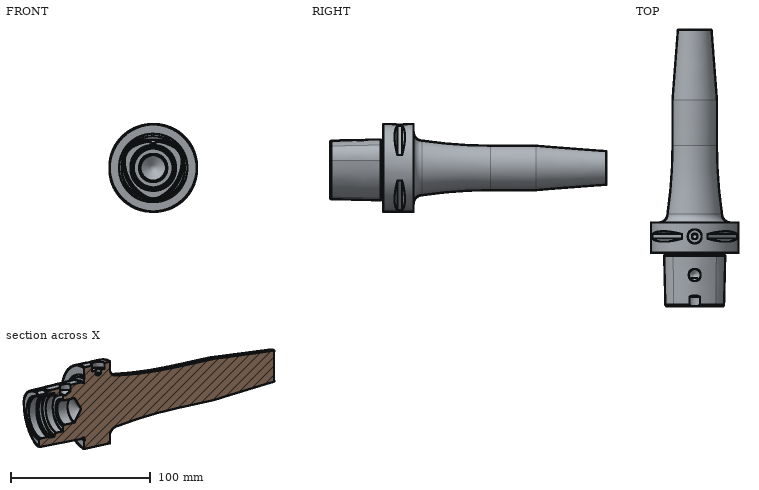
import math

import cadquery as cq

UP = (0, 0, 1)
DOWN = (0, 0, -1)
TOWARDS_NOSE = (0, 1, 0)

FLANGE_RADIUS = 31.5
FLANGE_WIDTH = 22.0
FLANGE_CHAMFER = 0.4
FLANGE_MIDPLANE_Y = 12.0

NOSE_END_Y = 160.0
NOSE_TIP_RADIUS = 12.15
NOSE_TIP_CHAMFER = 0.5
NECK_RADIUS = 16.0
NECK_START_Y = 77.0
NECK_END_Y = 109.5
FLARE_ARC_RADIUS = 335.0
FLARE_START_Y = 28.0
FLANGE_FILLET = 6.0

SHANK_LENGTH = 38.0
SHANK_WIDTH = 44.0
LOBE_RADIUS = 13.0
LOBE_CENTRE_DISTANCE = (SHANK_WIDTH - 2 * LOBE_RADIUS) / math.sqrt(3)
SHANK_TAPER = 1 / 40
SHANK_END_CHAMFER = 0.7
SHANK_END_CHAMFER_LENGTH = 1.3
LOBE_ANGLES = (30, 150, 270)
ARC_SPAN = 60

UNDERCUT_DEPTH = 0.8
UNDERCUT_BEVEL_START_Y = -1.1
UNDERCUT_BEVEL_END_Y = -1.9
RELIEF_OUTER_RADIUS = 24.5
RELIEF_INNER_RADIUS = 22.7
RELIEF_DEPTH = 0.6

DRILL_POINT_HALF_ANGLE = 59
BORE_MOUTH_RADIUS = 16.4
BORE_RADIUS = 15.7
BORE_MOUTH_DEPTH = 1.5
BORE_DEPTH = 7.7
LIP_RADIUS = 15.2
LIP_START_DEPTH = 8.4
LIP_END_DEPTH = 9.4
GROOVE_RADIUS = 16.6
GROOVE_END_DEPTH = 13.0
INNER_BORE_RADIUS = 13.9
INNER_BORE_CHAMFER_DEPTH = 14.5
INNER_BORE_DEPTH = 20.4
CENTRE_HOLE_RADIUS = 9.2
CENTRE_HOLE_CHAMFER = 0.9
CENTRE_HOLE_DEPTH = 30.0

SLOT_FLOOR_DISTANCE = 27.75
SLOT_FLOOR_WIDTH = 3.2
SLOT_FLANK_ANGLE = 30
SLOT_ANGLES = (45, 135, 225, 315)

FLANGE_HOLE_RADIUS = 5.0
FLANGE_HOLE_DEPTH = 4.5
PILOT_HOLE_RADIUS = 2.0
PILOT_HOLE_DEPTH = 3.0
SHANK_HOLE_RADIUS = 4.3
SHANK_HOLE_FLOOR_Z = 15.6
SHANK_HOLE_Y = -15.6
NOTCH_RADIUS = 5.0
NOTCH_AXIS_Z = 22.85
NOTCH_LENGTH = 6.7


def drill_point_height(radius):
    return radius / math.tan(math.radians(DRILL_POINT_HALF_ANGLE))


def revolve_about_axis(profile):
    return profile.close().revolve(360, (0, 0, 0), (0, 1, 0))


def drill(start, direction, radius, depth):
    """Solid of a drilled hole: a cylinder of full depth followed by the conical point."""
    start = cq.Vector(*start)
    direction = cq.Vector(*direction)
    barrel = cq.Solid.makeCylinder(radius, depth, start, direction)
    point = cq.Solid.makeCone(radius, 0, drill_point_height(radius), start + direction * depth, direction)
    return cq.Workplane(barrel).union(cq.Workplane(point))


def make_nose_and_flange():
    flare_centre_x = NECK_RADIUS + FLARE_ARC_RADIUS

    def flare_radius(y):
        return flare_centre_x - math.sqrt(FLARE_ARC_RADIUS**2 - (NECK_START_Y - y) ** 2)

    flare_middle_y = (FLARE_START_Y + NECK_START_Y) / 2
    flare_base_radius = flare_radius(FLARE_START_Y)
    fillet_centre_x = flare_base_radius + FLANGE_FILLET
    fillet_centre_y = FLANGE_WIDTH + FLANGE_FILLET
    fillet_diagonal = FLANGE_FILLET * math.sqrt(0.5)
    profile = (
        cq.Workplane("XY")
        .lineTo(FLANGE_RADIUS - FLANGE_CHAMFER, 0)
        .lineTo(FLANGE_RADIUS, FLANGE_CHAMFER)
        .lineTo(FLANGE_RADIUS, FLANGE_WIDTH)
        .lineTo(fillet_centre_x, FLANGE_WIDTH)
        .threePointArc(
            (fillet_centre_x - fillet_diagonal, fillet_centre_y - fillet_diagonal),
            (flare_base_radius, FLARE_START_Y),
        )
        .threePointArc((flare_radius(flare_middle_y), flare_middle_y), (NECK_RADIUS, NECK_START_Y))
        .lineTo(NECK_RADIUS, NECK_END_Y)
        .lineTo(NOSE_TIP_RADIUS, NOSE_END_Y - NOSE_TIP_CHAMFER)
        .lineTo(NOSE_TIP_RADIUS - NOSE_TIP_CHAMFER, NOSE_END_Y)
        .lineTo(0, NOSE_END_Y)
    )
    return revolve_about_axis(profile)


def make_face_relief():
    """Ring groove in the gauge face with a straight outer wall and a sloping floor."""
    profile = (
        cq.Workplane("XY")
        .moveTo(RELIEF_INNER_RADIUS, 0)
        .lineTo(RELIEF_OUTER_RADIUS, 0)
        .lineTo(RELIEF_OUTER_RADIUS, RELIEF_DEPTH)
    )
    return revolve_about_axis(profile)


def shank_section(y, inset):
    """Polygon outline in the plane at y, moved inwards by inset.

    Each lobe's arc and the flat arc opposite to it share one centre.
    """
    lobe_radius = LOBE_RADIUS - inset
    flat_radius = SHANK_WIDTH - LOBE_RADIUS - inset
    half_span = ARC_SPAN / 2

    def point_around(lobe_angle, radius, angle):
        lobe = math.radians(lobe_angle)
        ray = math.radians(angle)
        x = LOBE_CENTRE_DISTANCE * math.cos(lobe) + radius * math.cos(ray)
        z = LOBE_CENTRE_DISTANCE * math.sin(lobe) + radius * math.sin(ray)
        return cq.Vector(x, y, z)

    edges = []
    for lobe_angle in LOBE_ANGLES:
        flat_angle = lobe_angle + ARC_SPAN
        opposite_lobe = flat_angle + 180
        for centre, radius, angle in (
            (lobe_angle, lobe_radius, lobe_angle),
            (opposite_lobe, flat_radius, flat_angle),
        ):
            points = [point_around(centre, radius, angle + turn) for turn in (-half_span, 0, half_span)]
            edges.append(cq.Edge.makeThreePointArc(*points))
    return cq.Wire.assembleEdges(edges)


def make_shank():
    def taper_inset(y):
        return -y * SHANK_TAPER

    end_y = -SHANK_LENGTH
    chamfer_y = end_y + SHANK_END_CHAMFER_LENGTH
    sections = [
        shank_section(0, UNDERCUT_DEPTH),
        shank_section(UNDERCUT_BEVEL_START_Y, UNDERCUT_DEPTH),
        shank_section(UNDERCUT_BEVEL_END_Y, taper_inset(UNDERCUT_BEVEL_END_Y)),
        shank_section(chamfer_y, taper_inset(chamfer_y)),
        shank_section(end_y, taper_inset(end_y) + SHANK_END_CHAMFER),
    ]
    return cq.Workplane(cq.Solid.makeLoft(sections, True))


def make_bore():
    end_y = -SHANK_LENGTH
    centre_hole_mouth_radius = CENTRE_HOLE_RADIUS + CENTRE_HOLE_CHAMFER
    point_depth = CENTRE_HOLE_DEPTH + drill_point_height(CENTRE_HOLE_RADIUS)
    profile = (
        cq.Workplane("XY")
        .moveTo(0, end_y)
        .lineTo(BORE_MOUTH_RADIUS, end_y)
        .lineTo(BORE_RADIUS, end_y + BORE_MOUTH_DEPTH)
        .lineTo(BORE_RADIUS, end_y + BORE_DEPTH)
        .lineTo(LIP_RADIUS, end_y + LIP_START_DEPTH)
        .lineTo(LIP_RADIUS, end_y + LIP_END_DEPTH)
        .lineTo(GROOVE_RADIUS, end_y + LIP_END_DEPTH)
        .lineTo(GROOVE_RADIUS, end_y + GROOVE_END_DEPTH)
        .lineTo(BORE_RADIUS, end_y + GROOVE_END_DEPTH)
        .lineTo(INNER_BORE_RADIUS, end_y + INNER_BORE_CHAMFER_DEPTH)
        .lineTo(INNER_BORE_RADIUS, end_y + INNER_BORE_DEPTH)
        .lineTo(centre_hole_mouth_radius, end_y + INNER_BORE_DEPTH)
        .lineTo(CENTRE_HOLE_RADIUS, end_y + INNER_BORE_DEPTH + CENTRE_HOLE_CHAMFER)
        .lineTo(CENTRE_HOLE_RADIUS, end_y + CENTRE_HOLE_DEPTH)
        .lineTo(0, end_y + point_depth)
    )
    return revolve_about_axis(profile)


def make_gripper_slot(angle):
    """V-shaped slot with a flat floor, cut straight across the flange's rim."""
    depth = FLANGE_RADIUS - SLOT_FLOOR_DISTANCE
    half_floor = SLOT_FLOOR_WIDTH / 2
    half_mouth = half_floor + depth * math.tan(math.radians(SLOT_FLANK_ANGLE))
    profile = cq.Workplane("XY").polyline(
        [
            (SLOT_FLOOR_DISTANCE, FLANGE_MIDPLANE_Y - half_floor),
            (FLANGE_RADIUS, FLANGE_MIDPLANE_Y - half_mouth),
            (FLANGE_RADIUS, FLANGE_MIDPLANE_Y + half_mouth),
            (SLOT_FLOOR_DISTANCE, FLANGE_MIDPLANE_Y + half_floor),
        ]
    )
    slot = profile.close().extrude(FLANGE_RADIUS, both=True)
    return slot.rotate((0, 0, 0), (0, 1, 0), angle)


def make_flange_hole():
    floor_z = FLANGE_RADIUS - FLANGE_HOLE_DEPTH
    floor_centre = cq.Vector(0, FLANGE_MIDPLANE_Y, floor_z)
    counterbore = cq.Solid.makeCylinder(FLANGE_HOLE_RADIUS, FLANGE_HOLE_DEPTH, floor_centre, cq.Vector(*UP))
    pilot = drill(floor_centre.toTuple(), DOWN, PILOT_HOLE_RADIUS, PILOT_HOLE_DEPTH)
    return pilot.union(cq.Workplane(counterbore))


def make_shank_hole():
    """Blind drilled hole, ending in the solid metal behind the inner bore's floor."""
    start_z = SHANK_WIDTH / 2
    return drill((0, SHANK_HOLE_Y, start_z), DOWN, SHANK_HOLE_RADIUS, start_z - SHANK_HOLE_FLOOR_Z)


def make_end_notch():
    return drill((0, -SHANK_LENGTH, NOTCH_AXIS_Z), TOWARDS_NOSE, NOTCH_RADIUS, NOTCH_LENGTH)


result = make_nose_and_flange().cut(make_face_relief()).union(make_shank()).cut(make_bore())
for slot_angle in SLOT_ANGLES:
    result = result.cut(make_gripper_slot(slot_angle))
result = result.cut(make_flange_hole()).cut(make_shank_hole()).cut(make_end_notch())